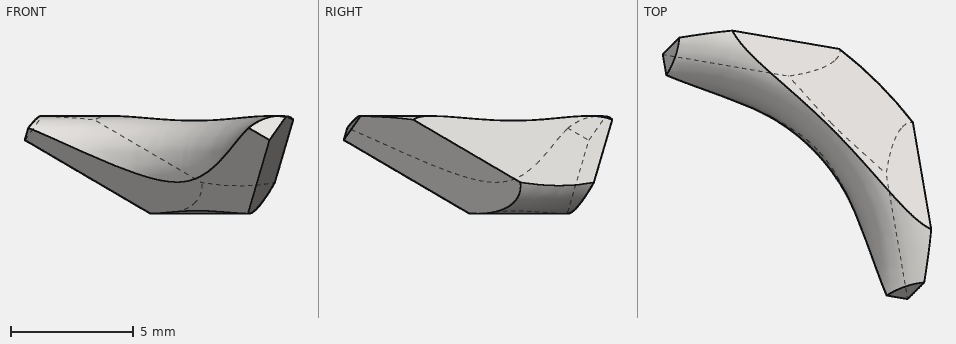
import cadquery as cq
import math

RING_RADIUS = 10.0
TUBE_RADIUS = 2.0

PLATE_SIDE = 10.0
PLATE_THICKNESS = 2.5
PLATE_TILT = 45.0
PLATE_TURN = 45.0
PLATE_REACH = 7.295
PLATE_HEIGHT = 1.895


def make_ring():
    """Full torus of circular section."""
    ring = cq.Solid.makeTorus(RING_RADIUS, TUBE_RADIUS, cq.Vector(0, 0, 0), cq.Vector(0, 0, 1))
    return cq.Workplane(obj=ring)


def make_plate():
    """Tilted square plate, mirror-symmetric about the plane X = Y."""
    diagonal = math.sqrt(0.5)
    tilt = math.radians(PLATE_TILT)
    lean = math.sin(tilt) * diagonal
    plate_plane = cq.Plane(
        origin=(PLATE_REACH * diagonal, PLATE_REACH * diagonal, PLATE_HEIGHT),
        xDir=(diagonal, -diagonal, 0),
        normal=(lean, lean, math.cos(tilt)),
    )
    return (
        cq.Workplane(plate_plane)
        .transformed(rotate=(0, 0, PLATE_TURN))
        .box(PLATE_SIDE, PLATE_SIDE, PLATE_THICKNESS)
    )


segment = make_ring().intersect(make_plate())
result = segment.solids()